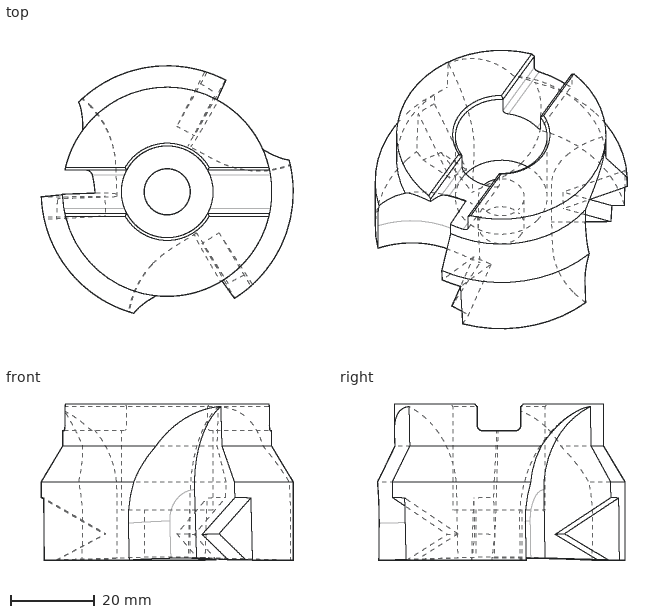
import cadquery as cq
import math

body_radius = 30.15
neck_radius = 25.0
height = 37.4
cone_bottom = 18.75
cone_top = 27.3
dish_angle = 1.7

bore_radius = 11.0
bore_floor = 12.05
bolt_radius = 5.5
slot_width = 10.4
slot_depth = 6.4
slot_fillet = 1.2
edge_chamfer = 0.65

flute_count = 3
floor_distance = 12.05
floor_half_width = 7.25
wall_radius = 21.7
arc_center_y = -0.4
arc_center_z = 9.65
radial_tilt = 2.0
axial_tilt = 2.0

pocket_inner = 14.9
pocket_corner_z = 6.15
pocket_depth = 4.75
pocket_upper_angle = 30.0
pocket_lower_angle = 28.0

clearance = 6.05
reach = body_radius + clearance


def make_body():
    """Revolved cutter blank with a shallow dished underside."""
    dish_rise = body_radius * math.tan(math.radians(dish_angle))
    outline = [
        (0, dish_rise),
        (body_radius, 0),
        (body_radius, cone_bottom),
        (neck_radius, cone_top),
        (neck_radius, height),
        (0, height),
    ]
    return cq.Workplane("XZ").polyline(outline).close().revolve(360, (0, 0), (0, 1))


def make_bore():
    """Stepped bore with a chamfered mouth and a bolt hole below it."""
    mouth_radius = bore_radius + edge_chamfer
    outline = [
        (0, -clearance),
        (bolt_radius, -clearance),
        (bolt_radius, bore_floor),
        (bore_radius, bore_floor),
        (bore_radius, height - edge_chamfer),
        (mouth_radius, height),
        (0, height),
    ]
    return cq.Workplane("XZ").polyline(outline).close().revolve(360, (0, 0), (0, 1))


def make_slot():
    """Drive slot along X with rounded floor corners and chamfered top edges."""
    floor_z = height - slot_depth
    half_width = slot_width / 2
    channel = (
        cq.Workplane("XY", origin=(0, 0, floor_z))
        .box(2 * reach, slot_width, slot_depth, centered=(True, True, False))
        .edges("|X and <Z")
        .fillet(slot_fillet)
    )
    chamfers = (
        cq.Workplane("YZ", origin=(-reach, 0, 0))
        .moveTo(-half_width - edge_chamfer, height)
        .lineTo(half_width + edge_chamfer, height)
        .lineTo(half_width, height - edge_chamfer)
        .lineTo(-half_width, height - edge_chamfer)
        .close()
        .extrude(2 * reach)
    )
    return channel.union(chamfers)


def flute_profile(workplane):
    """Flute section: distance from its arc axis against distance from the cutter axis."""
    outer_width = floor_half_width + wall_radius
    outer_distance = floor_distance + wall_radius
    diagonal = wall_radius * math.sqrt(0.5)
    arc_middle = (floor_half_width + diagonal, outer_distance - diagonal)
    return (
        workplane.moveTo(0, floor_distance)
        .lineTo(floor_half_width, floor_distance)
        .threePointArc(arc_middle, (outer_width, outer_distance))
        .lineTo(outer_width, outer_distance + clearance)
        .lineTo(0, outer_distance + clearance)
        .close()
    )


def make_flute():
    """Flute at the -X side: straight below the arc axis, a quarter turn above it."""
    arc_plane = cq.Plane(
        origin=(0, arc_center_y, arc_center_z), xDir=(0, 1, 0), normal=(0, 0, 1)
    )
    straight = flute_profile(cq.Workplane(arc_plane)).extrude(-arc_center_z - clearance)
    turned = flute_profile(cq.Workplane(arc_plane)).revolve(90, (0, 0), (0, -1))
    return straight.union(turned)


def make_pocket():
    """V-shaped insert seat behind the flute face, open to the rim and the underside."""
    length = reach - pocket_inner
    rise = length * math.tan(math.radians(pocket_upper_angle))
    fall = length * math.tan(math.radians(pocket_lower_angle))
    return (
        cq.Workplane("XZ", origin=(0, arc_center_y, 0))
        .moveTo(-pocket_inner, pocket_corner_z)
        .lineTo(-reach, pocket_corner_z + rise)
        .lineTo(-reach, pocket_corner_z - fall)
        .close()
        .extrude(pocket_depth)
    )


def tilt(tool):
    """Lean a tool axially and radially."""
    leaned = tool.rotate((0, 0, arc_center_z), (1, 0, arc_center_z), -axial_tilt)
    return leaned.rotate((0, 0, 0), (0, 0, 1), radial_tilt)


result = make_body().cut(make_bore()).cut(make_slot())
tooth_tools = [tilt(make_flute()), tilt(make_pocket())]
for index in range(flute_count):
    angle = index * 360 / flute_count
    for tool in tooth_tools:
        result = result.cut(tool.rotate((0, 0, 0), (0, 0, 1), angle))